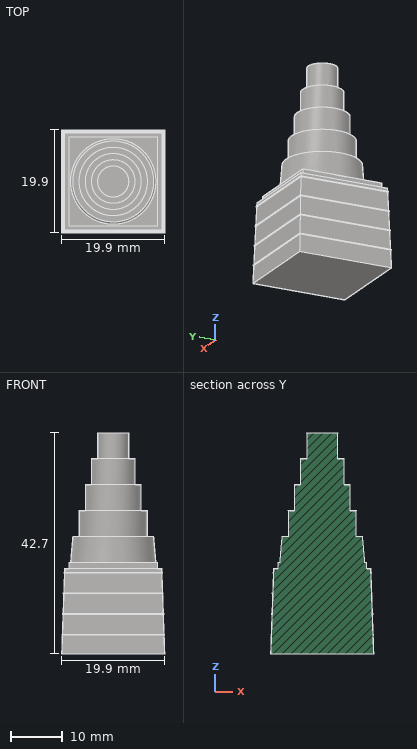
import cadquery as cq
import math

base_width = 19.9
base_height = 16.5
base_draft_angle = 2.0

ridge_height = 0.1
ridge_projection = 0.1
first_ridge_z = 3.7
ridge_pitch = 4.0
ridge_count = 4

plate_width = 17.1
plate_height = 1.2

step_height = 5.0
pin_diameters = (13.2, 10.8, 8.4, 6.0)
collar_top_diameter = 15.6
collar_draft_angle = 5.0
collar_bottom_diameter = collar_top_diameter + 2 * step_height * math.tan(math.radians(collar_draft_angle))

collar_z = base_height + plate_height
first_pin_z = collar_z + step_height


def base_width_at(z):
    """Width of the tapered base at height z."""
    return base_width - 2 * z * math.tan(math.radians(base_draft_angle))


def square_block(width, height, bottom_z):
    return cq.Workplane("XY", origin=(0, 0, bottom_z)).rect(width, width).extrude(height)


def tapered_base():
    return cq.Workplane("XY").rect(base_width, base_width).extrude(base_height, taper=base_draft_angle)


def ridge(z):
    """Thin square slab that stands proud of the base walls at height z."""
    return square_block(base_width_at(z) + 2 * ridge_projection, ridge_height, z)


def collar():
    return (
        cq.Workplane("XY", origin=(0, 0, collar_z))
        .circle(collar_bottom_diameter / 2)
        .extrude(step_height, taper=collar_draft_angle)
    )


def pin(diameter, bottom_z):
    return cq.Workplane("XY", origin=(0, 0, bottom_z)).circle(diameter / 2).extrude(step_height)


result = tapered_base()
for index in range(ridge_count):
    result = result.union(ridge(first_ridge_z + index * ridge_pitch))
result = result.union(square_block(plate_width, plate_height, base_height))
result = result.union(collar())
for index, diameter in enumerate(pin_diameters):
    result = result.union(pin(diameter, first_pin_z + index * step_height))